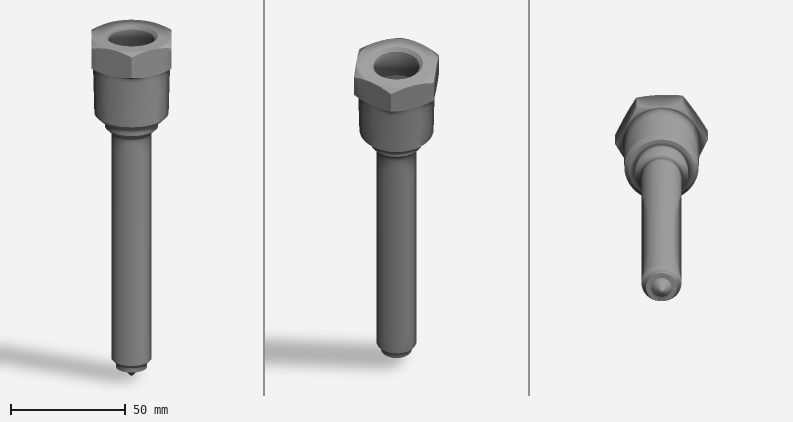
import cadquery as cq
import math

total_length = 162.0
top_z = total_length / 2

hex_across_flats = 35.0
hex_height = 12.8
hex_chamfer_angle = 30.0

body_top_radius = 16.8
body_bottom_radius = 16.2
body_end_depth = 38.4
body_chamfer = 2.0

collar_radius = 11.7
collar_end_depth = 42.6
stem_radius = 8.7
stem_end_depth = 153.2

step_radius = 6.8
step_end_depth = 157.3
point_radius = 4.5

bore_mouth_radius = 11.5
bore_top_radius = 10.0
bore_floor_radius = 9.5
bore_mouth_depth = 1.5
bore_depth = 14.0


def revolve_profile(points):
    """Revolve (radius, depth below the top face) points about the Z axis."""
    outline = [(radius, top_z - depth) for radius, depth in points]
    return cq.Workplane("XZ").polyline(outline).close().revolve(360, (0, 0), (0, 1))


def make_head():
    """Hexagonal prism whose corners are trimmed by a cone at both ends."""
    flat_radius = hex_across_flats / 2
    corner_radius = flat_radius / math.cos(math.pi / 6)
    corner_drop = (corner_radius - flat_radius) * math.tan(math.radians(hex_chamfer_angle))
    prism = (
        cq.Workplane("XY", origin=(0, 0, top_z - hex_height))
        .polygon(6, 2 * corner_radius)
        .extrude(hex_height)
    )
    envelope = revolve_profile([
        (0, 0),
        (flat_radius, 0),
        (corner_radius, corner_drop),
        (corner_radius, hex_height - corner_drop),
        (flat_radius, hex_height),
        (0, hex_height),
    ])
    return prism.intersect(envelope)


def make_shank():
    """Tapered body, collar, stem and pointed end, turned in one profile."""
    return revolve_profile([
        (0, hex_height),
        (body_top_radius, hex_height),
        (body_bottom_radius, body_end_depth - body_chamfer),
        (body_bottom_radius - body_chamfer, body_end_depth),
        (collar_radius, body_end_depth),
        (collar_radius, collar_end_depth),
        (stem_radius, collar_end_depth + collar_radius - stem_radius),
        (stem_radius, stem_end_depth),
        (step_radius, stem_end_depth + stem_radius - step_radius),
        (step_radius, step_end_depth),
        (point_radius, step_end_depth),
        (0, total_length),
    ])


def make_bore():
    return revolve_profile([
        (0, 0),
        (bore_mouth_radius, 0),
        (bore_top_radius, bore_mouth_depth),
        (bore_floor_radius, bore_depth),
        (0, bore_depth),
    ])


result = make_head().union(make_shank()).cut(make_bore())